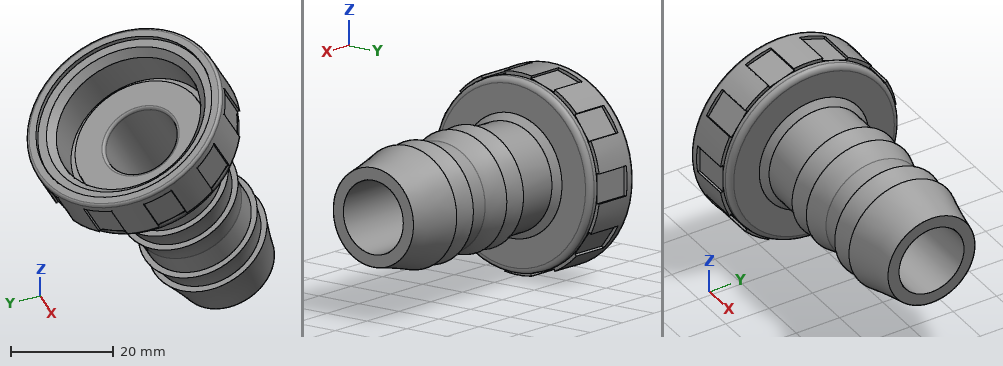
import cadquery as cq
import math

AXIS_START = (0, 0, 0)
AXIS_END = (1, 0, 0)

nut_length = 12.6
nut_radius = 20.5
front_round = 0.6
grip_end = 10.5
rear_radius = 19.75
rear_round = 1.2
lip_radius = 18.45
lip_depth = 1.0
thread_radius = 15.15
thread_chamfer = 1.5
floor_x = 10.5

grip_count = 10
grip_start = 2.0
grip_width = 6.1
grip_flat_distance = rear_radius

overall_length = 56.0
bore_radius = 7.5
bore_round = 0.6
neck_radius = 11.25
neck_start = 14.0
flange_face_x = 9.1
seat_radius = 13.75
seat_cone_start = neck_start - (seat_radius - neck_radius)

barb_radius = 12.5
barb_pitch = 5.25
tip_length = 2 * barb_pitch
tip_radius = 10.05
tip_barb_start = overall_length - tip_length
barb_steps_before_tip = (4, 3, 1)
barb_starts = [tip_barb_start - steps * barb_pitch for steps in barb_steps_before_tip]
flank_sag = 0.12


def revolve_about_axis(profile):
    return profile.close().revolve(360, AXIS_START, AXIS_END)


def make_nut():
    """Nut with a threaded-size cavity and a conical seat that traps the hose tail."""
    seat_rear_radius = neck_radius + neck_start - nut_length
    body = revolve_about_axis(
        cq.Workplane("XY")
        .moveTo(0, lip_radius)
        .lineTo(0, nut_radius - front_round)
        .radiusArc((front_round, nut_radius), front_round)
        .lineTo(grip_end, nut_radius)
        .lineTo(grip_end, rear_radius)
        .lineTo(nut_length - rear_round, rear_radius)
        .radiusArc((nut_length, rear_radius - rear_round), rear_round)
        .lineTo(nut_length, seat_rear_radius)
        .lineTo(seat_cone_start, seat_radius)
        .lineTo(floor_x, seat_radius)
        .lineTo(floor_x, thread_radius)
        .lineTo(lip_depth + thread_chamfer, thread_radius)
        .lineTo(lip_depth, thread_radius + thread_chamfer)
        .lineTo(lip_depth, lip_radius)
    )
    return cut_grip_pockets(body)


def cut_grip_pockets(body):
    pocket_length = grip_end - grip_start
    pocket_depth = nut_radius - grip_flat_distance
    pocket = (
        cq.Workplane("XY")
        .box(pocket_length, pocket_depth, grip_width, centered=(False, False, True))
        .translate((grip_start, grip_flat_distance, 0))
    )
    for index in range(grip_count):
        body = body.cut(pocket.rotate(AXIS_START, AXIS_END, index * 360 / grip_count))
    return body


def add_barb_flank(profile, start, length, end_radius):
    """Step out to the barb's crest, then follow its hollow flank."""
    profile = profile.lineTo(start, barb_radius)
    drop = barb_radius - end_radius
    flank = math.hypot(length, drop)
    middle_x = start + length / 2 - flank_sag * drop / flank
    middle_radius = (barb_radius + end_radius) / 2 - flank_sag * length / flank
    return profile.threePointArc((middle_x, middle_radius), (start + length, end_radius))


def make_hose_tail():
    """Collar with a conical back, plain neck, barbs and a tapered tip, bored through."""
    profile = (
        cq.Workplane("XY")
        .moveTo(flange_face_x, bore_radius + bore_round)
        .lineTo(flange_face_x, seat_radius)
        .lineTo(seat_cone_start, seat_radius)
        .lineTo(neck_start, neck_radius)
    )
    neck_end = neck_start
    for start in barb_starts:
        if start > neck_end:
            profile = profile.lineTo(start, neck_radius)
        profile = add_barb_flank(profile, start, barb_pitch, neck_radius)
        neck_end = start + barb_pitch
    profile = add_barb_flank(profile, tip_barb_start, tip_length, tip_radius)
    profile = (
        profile.lineTo(overall_length, bore_radius)
        .lineTo(flange_face_x + bore_round, bore_radius)
        .radiusArc((flange_face_x, bore_radius + bore_round), bore_round)
    )
    return revolve_about_axis(profile)


nut = make_nut()
hose_tail = make_hose_tail()
result = cq.Compound.makeCompound([nut.solids().val(), hose_tail.val()])